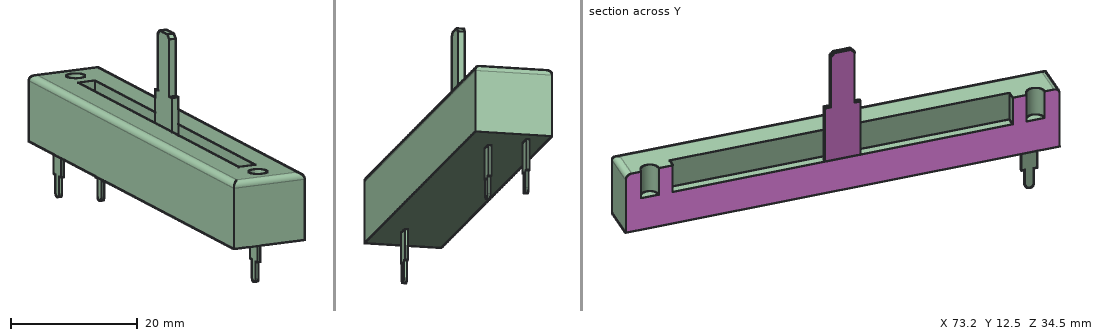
import cadquery as cq

length = 73.2
width = 12.5
height = 11.0
top_edge_radius = 1.0

slot_length = 57.25
slot_width = 2.9
slot_depth = 5.0
hole_diameter = 3.0
hole_depth = slot_depth
hole_offset = 32.5

lever_thickness = 1.2
lever_base_width = 6.0
lever_tip_width = 4.1
lever_rise = 15.0
lever_step_rise = 5.0
lever_chamfer = 0.65

pin_thickness = 0.5
pin_base_width = 2.6
pin_tip_width = 1.5
pin_base_length = 5.0
pin_length = 8.5
outer_pin_x = hole_offset
inner_pin_x = 27.5
front_row_y = -3.0
rear_row_y = 2.0
pin_places = [
    (-outer_pin_x, front_row_y),
    (-inner_pin_x, rear_row_y),
    (inner_pin_x, rear_row_y),
]


def make_housing():
    """Block with rounded top edges, a blind slider slot and two blind mounting holes."""
    block = cq.Workplane("XY").box(length, width, height, centered=(True, True, False))
    block = block.faces(">Z").edges().fillet(top_edge_radius)
    top = cq.Workplane("XY").workplane(offset=height)
    slot = top.rect(slot_length, slot_width).extrude(-slot_depth)
    holes = (
        top.pushPoints([(-hole_offset, 0), (hole_offset, 0)])
        .circle(hole_diameter / 2)
        .extrude(-hole_depth)
    )
    return block.cut(slot).cut(holes)


def make_lever():
    """Blade with a wide base, a narrower handle and chamfered top corners."""
    half_base = lever_base_width / 2
    half_tip = lever_tip_width / 2
    floor_z = height - slot_depth
    step_z = height + lever_step_rise
    top_z = height + lever_rise
    return (
        cq.Workplane("XZ")
        .moveTo(-half_base, floor_z)
        .lineTo(half_base, floor_z)
        .lineTo(half_base, step_z)
        .lineTo(half_tip, step_z)
        .lineTo(half_tip, top_z - lever_chamfer)
        .lineTo(half_tip - lever_chamfer, top_z)
        .lineTo(-half_tip + lever_chamfer, top_z)
        .lineTo(-half_tip, top_z - lever_chamfer)
        .lineTo(-half_tip, step_z)
        .lineTo(-half_base, step_z)
        .close()
        .extrude(lever_thickness / 2, both=True)
    )


def make_pin(x, y):
    """Blade hanging from the housing underside, narrowing to a tip with a round end."""
    half_base = pin_base_width / 2
    half_tip = pin_tip_width / 2
    round_start_z = -pin_length + half_tip
    return (
        cq.Workplane("XZ")
        .moveTo(-half_base, 0)
        .lineTo(-half_base, -pin_base_length)
        .lineTo(-half_tip, -pin_base_length)
        .lineTo(-half_tip, round_start_z)
        .threePointArc((0, -pin_length), (half_tip, round_start_z))
        .lineTo(half_tip, -pin_base_length)
        .lineTo(half_base, -pin_base_length)
        .lineTo(half_base, 0)
        .close()
        .extrude(pin_thickness / 2, both=True)
        .translate((x, y, 0))
    )


housing = make_housing()
lever = make_lever()
pins = [make_pin(x, y) for x, y in pin_places]

result = cq.Compound.makeCompound([housing.val(), lever.val(), *[pin.val() for pin in pins]])